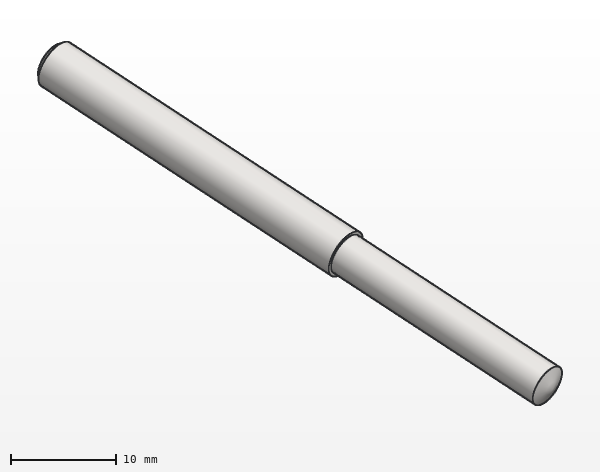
import cadquery as cq
import math

total_length = 63.0
shank_diameter = 5.0
shank_length = 37.0
shank_chamfer = 0.5
drill_diameter = 4.3
point_angle = 145.0

shank_radius = shank_diameter / 2
drill_radius = drill_diameter / 2
point_length = drill_radius / math.tan(math.radians(point_angle / 2))

half_profile = (
    cq.Workplane("XY")
    .moveTo(0, 0)
    .lineTo(0, shank_radius - shank_chamfer)
    .lineTo(shank_chamfer, shank_radius)
    .lineTo(shank_length, shank_radius)
    .lineTo(shank_length, drill_radius)
    .lineTo(total_length - point_length, drill_radius)
    .lineTo(total_length, 0)
    .close()
)
result = half_profile.revolve(360, (0, 0, 0), (1, 0, 0))